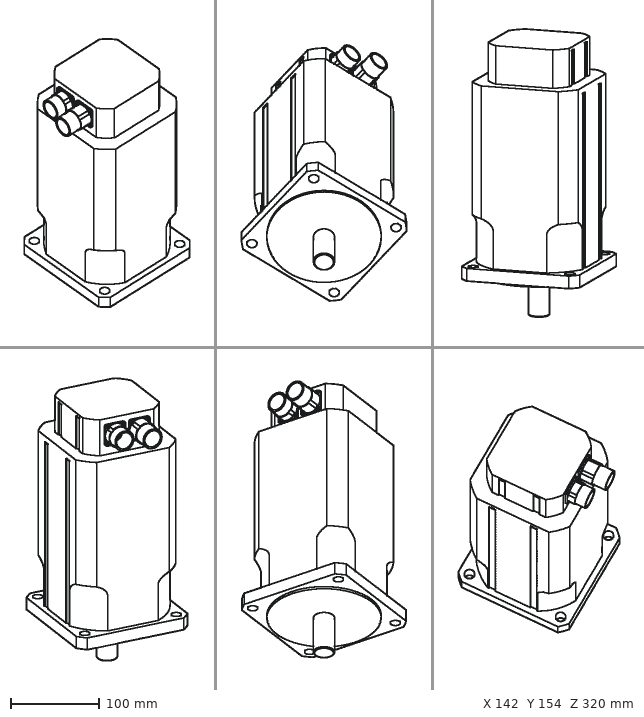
import cadquery as cq
PILOT_BOTTOM = 46.5
FLANGE_BOTTOM = 49.3
FLANGE_TOP = 64.0
RELIEF_STRAIGHT_TOP = 108.0
BODY_TOP = 275.5
MOTOR_TOP = 320.0

SHAFT_DIAMETER = 24.0
SHAFT_CHAMFER = 1.3
PILOT_DIAMETER = 130.0
FLANGE_WIDTH = 142.0
FLANGE_CORNER_RADIUS = 94.0
BOLT_SPACING = 116.8
BOLT_HOLE_DIAMETER = 11.5

BODY_WIDTH = 128.0
BODY_CORNER_RADIUS = 79.0
RELIEF_RADIUS = 71.7
RELIEF_FILLET = 15.5

CAP_WIDTH = 98.0
CAP_CORNER_RADIUS = 60.0

GROOVE_WIDTH = 8.0
GROOVE_DEPTH = 1.3
BODY_GROOVE_SPACING = 53.0
BODY_GROOVE_TOP = BODY_TOP - 7.7
CAP_GROOVE_SPACING = 44.0
CAP_GROOVE_TOP = MOTOR_TOP - 4.0

CONNECTOR_SPACING = 31.0
CONNECTOR_Z = MOTOR_TOP - 20.0
PLATE_WIDTH = 26.2
PLATE_THICKNESS = 2.2
PLATE_CORNER_RADIUS = 3.2
SCREW_SPACING = 20.0
SCREW_HOLE_DIAMETER = 2.7
COLLAR_DIAMETER = 26.0
SCREW_CLEARANCE_DIAMETER = 5.0
TUBE_DIAMETER = 24.0
TUBE_BORE = 20.0
SHORT_COLLAR_END = 11.5
SHORT_LENGTH = 24.3
LONG_COLLAR_END = 17.5
LONG_LENGTH = 34.0


def cylinder(diameter, bottom, top):
    """Cylinder about the motor axis."""
    return cq.Workplane("XY").workplane(offset=bottom).circle(diameter / 2).extrude(top - bottom)


def round_cornered_block(width, corner_radius, bottom, top):
    """Square block whose corners are turned down about its own center."""
    square = cq.Workplane("XY").workplane(offset=bottom).rect(width, width).extrude(top - bottom)
    return square.intersect(cylinder(2 * corner_radius, bottom, top))


def corner_relief():
    """Ring that cuts the lower body corners back and curves outward at its top."""
    outer_radius = RELIEF_RADIUS + RELIEF_FILLET
    relief_top = RELIEF_STRAIGHT_TOP + RELIEF_FILLET
    return (
        cq.Workplane("XZ")
        .moveTo(RELIEF_RADIUS, FLANGE_TOP)
        .lineTo(RELIEF_RADIUS, RELIEF_STRAIGHT_TOP)
        .radiusArc((outer_radius, relief_top), RELIEF_FILLET)
        .lineTo(outer_radius, FLANGE_TOP)
        .close()
        .revolve(360, (0, 0, 0), (0, 1, 0))
    )


def side_grooves(width, spacing, bottom, top):
    """Pair of upright grooves in the -X side of a block of the given width."""
    return (
        cq.Workplane("YZ")
        .workplane(offset=-width / 2)
        .pushPoints([(-spacing / 2, (bottom + top) / 2), (spacing / 2, (bottom + top) / 2)])
        .rect(GROOVE_WIDTH, top - bottom)
        .extrude(GROOVE_DEPTH)
    )


def make_motor():
    shaft = cylinder(SHAFT_DIAMETER, 0, PILOT_BOTTOM).faces("<Z").chamfer(SHAFT_CHAMFER)
    pilot = cylinder(PILOT_DIAMETER, PILOT_BOTTOM, FLANGE_BOTTOM)

    flange = round_cornered_block(FLANGE_WIDTH, FLANGE_CORNER_RADIUS, FLANGE_BOTTOM, FLANGE_TOP)
    flange = (
        flange.faces(">Z")
        .workplane(origin=(0, 0, FLANGE_TOP))
        .rect(BOLT_SPACING, BOLT_SPACING, forConstruction=True)
        .vertices()
        .hole(BOLT_HOLE_DIAMETER)
    )

    body = round_cornered_block(BODY_WIDTH, BODY_CORNER_RADIUS, FLANGE_TOP, BODY_TOP)
    body = body.cut(corner_relief())
    body = body.cut(side_grooves(BODY_WIDTH, BODY_GROOVE_SPACING, FLANGE_TOP, BODY_GROOVE_TOP))

    cap = round_cornered_block(CAP_WIDTH, CAP_CORNER_RADIUS, BODY_TOP, MOTOR_TOP)
    cap = cap.cut(side_grooves(CAP_WIDTH, CAP_GROOVE_SPACING, BODY_TOP, CAP_GROOVE_TOP))

    return shaft.union(pilot).union(flange).union(body).union(cap)


def make_connector(center_x, collar_end, length):
    """Connector standing on the cap's -Y face; lengths are measured from that face."""
    face = cq.Workplane("XZ", origin=(center_x, -CAP_WIDTH / 2, CONNECTOR_Z))
    screws = face.rect(SCREW_SPACING, SCREW_SPACING, forConstruction=True).vertices()

    plate = face.rect(PLATE_WIDTH, PLATE_WIDTH).extrude(PLATE_THICKNESS)
    plate = plate.edges("|Y").fillet(PLATE_CORNER_RADIUS)
    plate = plate.cut(screws.circle(SCREW_HOLE_DIAMETER / 2).extrude(PLATE_THICKNESS))

    front = face.workplane(offset=PLATE_THICKNESS)
    collar = front.circle(COLLAR_DIAMETER / 2).extrude(collar_end - PLATE_THICKNESS)
    screw_clearance = (
        front.rect(SCREW_SPACING, SCREW_SPACING, forConstruction=True)
        .vertices()
        .circle(SCREW_CLEARANCE_DIAMETER / 2)
        .extrude(collar_end - PLATE_THICKNESS)
    )
    collar = collar.cut(screw_clearance)

    tube = face.workplane(offset=collar_end).circle(TUBE_DIAMETER / 2).extrude(length - collar_end)
    bore = face.circle(TUBE_BORE / 2).extrude(length)
    return plate.union(collar).union(tube).cut(bore)


motor = make_motor()
short_connector, long_connector = [
    make_connector(center_x, collar_end, length)
    for center_x, collar_end, length in [
        (-CONNECTOR_SPACING / 2, SHORT_COLLAR_END, SHORT_LENGTH),
        (CONNECTOR_SPACING / 2, LONG_COLLAR_END, LONG_LENGTH),
    ]
]

result = cq.Compound.makeCompound([motor.val(), short_connector.val(), long_connector.val()])